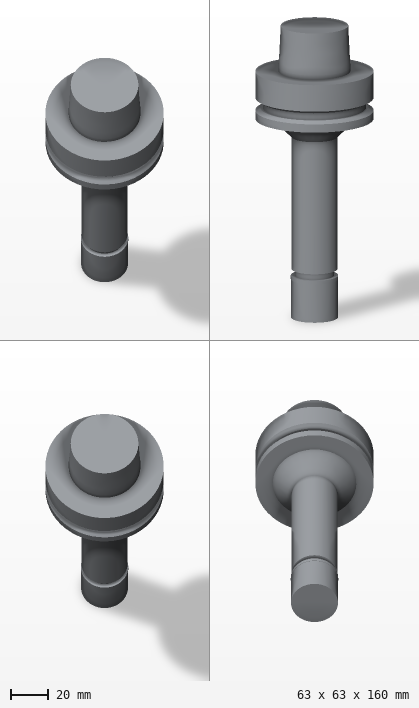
import cadquery as cq
import math


taper_length = 25.0
taper_root_height = 2.2
taper_root_diameter = 38.3
taper_ratio = 0.1

flange_diameter = 63.0
flange_thickness = 26.0
groove_diameter = 55.0
groove_centre_depth = 18.0
groove_mouth_width = 7.0
groove_floor_width = 4.0
groove_flank_angle = 30.0

cone_height = 10.0
shank_diameter = 24.5

overall_length = 160.0
neck_diameter = 21.0
neck_length = 3.5
nut_diameter = 25.0
nut_length = 23.0
collar_diameter = 25.3
collar_thickness = 2.0

taper_top_diameter = taper_root_diameter - taper_ratio * (taper_length - taper_root_height)
nut_bottom = taper_length - overall_length
nut_top = nut_bottom + nut_length
shank_bottom = nut_top + neck_length
cone_bottom = -flange_thickness - cone_height


def turned(levels):
    """Revolve (diameter, z) pairs, listed from top to bottom, into a solid about Z."""
    top_z = levels[0][1]
    bottom_z = levels[-1][1]
    outline = [(0, top_z)]
    outline += [(diameter / 2, z) for diameter, z in levels]
    outline += [(0, bottom_z)]
    return cq.Workplane("XZ").polyline(outline).close().revolve(360, (0, 0, 0), (0, 1, 0))


def make_taper():
    return turned([
        (taper_top_diameter, taper_length),
        (taper_root_diameter, taper_root_height),
        (taper_root_diameter, 0),
    ])


def make_flange():
    mouth_top = -groove_centre_depth + groove_mouth_width / 2
    mouth_bottom = mouth_top - groove_mouth_width
    floor_top = -groove_centre_depth + groove_floor_width / 2
    floor_bottom = floor_top - groove_floor_width
    flank_depth = (mouth_top - floor_top) / math.tan(math.radians(groove_flank_angle))
    ring_diameter = flange_diameter - 2 * flank_depth
    return turned([
        (flange_diameter, 0),
        (flange_diameter, mouth_top),
        (ring_diameter, floor_top),
        (groove_diameter, floor_top),
        (groove_diameter, floor_bottom),
        (ring_diameter, floor_bottom),
        (flange_diameter, mouth_bottom),
        (flange_diameter, -flange_thickness),
    ])


def make_shank():
    return turned([
        (shank_diameter + 2 * cone_height, -flange_thickness),
        (shank_diameter, cone_bottom),
        (shank_diameter, shank_bottom),
    ])


def make_nut():
    collar_bottom = nut_top - collar_thickness
    return turned([
        (neck_diameter, shank_bottom),
        (neck_diameter, nut_top),
        (collar_diameter, nut_top),
        (collar_diameter, collar_bottom),
        (nut_diameter, collar_bottom),
        (nut_diameter, nut_bottom),
    ])


result = make_taper().union(make_flange()).union(make_shank()).union(make_nut())